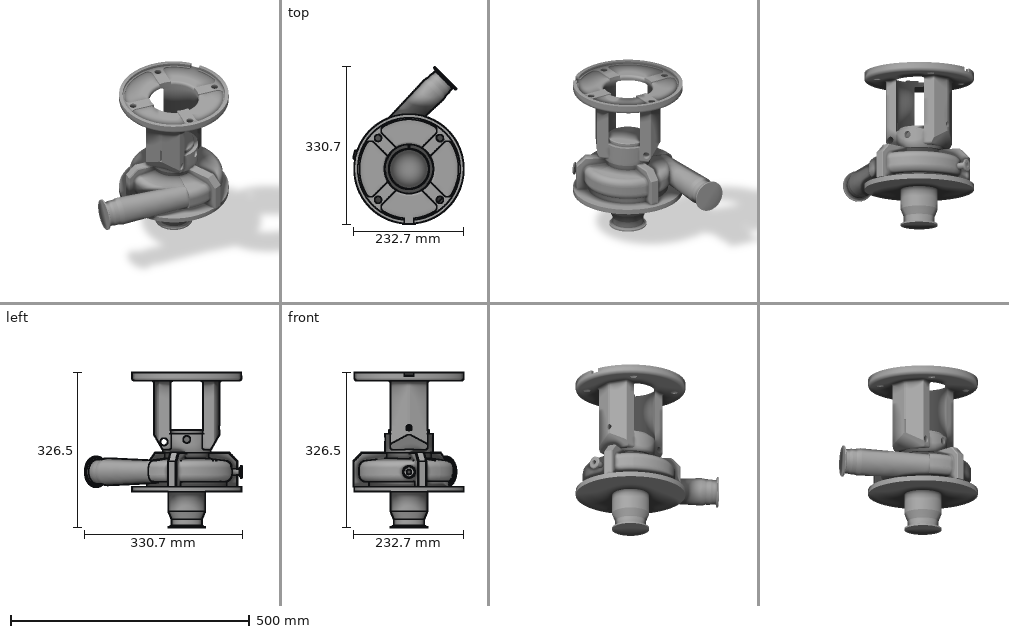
import cadquery as cq
import math

flange_radius = 115.3

base_thickness = 10.3
inlet_radius = 39.0
inlet_cone_top = -41.7
inlet_cone_bottom = -58.0
inlet_neck_radius = 32.5
inlet_end = -76.5
clamp_thickness = 3.0
clamp_taper = 2.3
clamp_lip = 6.5

volute_bottom = 20.2
volute_top = 65.0
volute_mid = (volute_bottom + volute_top) / 2
volute_edge_radius = 15.0
volute_small_radius = 93.0
volute_large_radius = 100.0
volute_shift = volute_large_radius - volute_small_radius
foot_radius = 84.5
cover_rise = 4.5
volute_throat = 6.5

hub_radius = 50.7
yoke_bore_radius = 51.7
hub_bottom = 81.5
hub_top = 121.5
hub_neck_radius = 46.5
plug_radius = 42.7
plug_top = 129.5
plug_chamfer = 1.3
hub_hole_diameter = 15.2
hub_hole_height = 109.3
hub_hole_depth = 8.3

ribs = [(45, 104.5), (165, 119.5), (285, 108.5)]
rib_width = 19.2
rib_top = 82.8
rib_corner = 19.2
rib_edge = 2.0
rib_root_fillet = 2.5

top_flange_bottom = 232.2
top_flange_top = 250.0
top_flange_fillet = 6.5
recess_radius = 107.5
recess_depth = 5.5
pocket_radius = 104.0
pocket_depth = 8.0
pocket_corner = 10.0
bore_lip = 5.5
bridge_width = 25.2
bolt_circle_radius = 91.7
bolt_hole_diameter = 14.5
notch_width = 19.2

leg_half_width = 39.0
leg_shoulder = 57.5
leg_ridge = 69.0
leg_ridge_flat = 2.5
leg_bottom = 87.8
leg_taper_top = 119.2
leg_taper_angle = 60
leg_edge = 2.3
leg_foot_edge = 5.0
leg_root_fillet = 4.0
peep_hole_diameter = 11.5
peep_hole_height = 133.8
pin_hole_diameter = 15.0
pin_hole_offset = 47.7
pin_hole_height = 104.3
slit_width = 3.3
slit_bottom = 119.2
slit_top = 149.0

outlet_angle = 45
outlet_offset = 80.8
outlet_height = 41.5
outlet_root_radius = 23.5
outlet_mouth_radius = 28.8
outlet_cone_length = 153.0
outlet_shoulder = 163.3
outlet_collar_radius = 26.8
outlet_collar_end = 172.5
outlet_neck_radius = 25.8
outlet_neck_start = 178.0
outlet_length = 189.8

drain_radius = 6.5
drain_flange_radius = 13.0
drain_reach = 116.5
drain_flange_thickness = 3.5
drain_taper = 2.5
drain_rim = 2.0
drain_bore_radius = 5.0
drain_bore_depth = 23.2
drain_height = 41.0
drain_root = 82.8


def cylinder(radius, bottom, top):
    return cq.Workplane("XY").workplane(offset=bottom).circle(radius).extrude(top - bottom)


def turned(points):
    """Solid of revolution about Z from (radius, height) points."""
    return cq.Workplane("XZ").polyline(points).close().revolve(360, (0, 0), (0, 1))


def make_inlet():
    neck = inlet_neck_radius
    rim = neck + clamp_lip
    clamp_top = inlet_end + clamp_thickness
    return turned([
        (0, 0),
        (inlet_radius, 0),
        (inlet_radius, inlet_cone_top),
        (neck, inlet_cone_bottom),
        (neck, clamp_top + clamp_taper),
        (neck + clamp_lip / 2, clamp_top),
        (rim, clamp_top),
        (rim, inlet_end),
        (0, inlet_end),
    ])


def volute_section(radius):
    """Half section of the rounded volute and its slightly conical cover, in the XZ plane."""
    shoulder = radius - volute_edge_radius
    return (
        cq.Workplane("XZ")
        .moveTo(0, volute_bottom)
        .lineTo(shoulder, volute_bottom)
        .radiusArc((radius, volute_bottom + volute_edge_radius), -volute_edge_radius)
        .lineTo(radius, volute_top - volute_edge_radius)
        .radiusArc((shoulder, volute_top), -volute_edge_radius)
        .lineTo(hub_neck_radius, volute_top + cover_rise)
        .lineTo(0, volute_top + cover_rise)
        .close()
    )


def make_volute():
    """Two half turns of different radius; the larger one runs straight into the outlet."""
    half_turn = ((0, 0), (0, 1))
    small_half = volute_section(volute_small_radius).revolve(180, *half_turn)
    small_half = small_half.rotate((0, 0, 0), (0, 0, 1), 180)
    large_half = volute_section(volute_large_radius).revolve(180, *half_turn)
    throat = volute_section(volute_large_radius).extrude(volute_throat)
    large_half = large_half.union(throat).translate((volute_shift, 0, 0))
    return small_half.union(large_half).rotate((0, 0, 0), (0, 0, 1), outlet_angle + 90)


def make_casing():
    casing = cylinder(flange_radius, 0, base_thickness)
    casing = casing.union(cylinder(foot_radius, base_thickness, volute_mid))
    casing = casing.union(cylinder(hub_neck_radius, volute_mid, hub_bottom))
    return casing.union(make_volute())


def make_rib(reach):
    """Chamfered rib along +X, clear of the shaft core."""
    rib = (
        cq.Workplane("XZ")
        .moveTo(0, 0)
        .lineTo(reach, 0)
        .lineTo(reach, rib_top - rib_corner)
        .lineTo(reach - rib_corner, rib_top)
        .lineTo(0, rib_top)
        .close()
        .extrude(rib_width / 2, both=True)
    )
    rib = rib.faces("<Y or >Y").edges("not (<X or <Z)").chamfer(rib_edge)
    above_flange = cylinder(2 * flange_radius, base_thickness, rib_top)
    outside_core = above_flange.cut(cylinder(hub_neck_radius - 3.3, 0, rib_top))
    return rib.intersect(outside_core)


def add_rib(casing, angle, reach):
    """Join a rib to the casing at the given angle and fillet its sides into the volute."""
    joined = casing.rotate((0, 0, 0), (0, 0, 1), -angle).union(make_rib(reach))
    for side in (-rib_width / 2, rib_width / 2):
        low = side - 0.03
        high = side + 0.03
        volute_seam = cq.selectors.BoxSelector(
            (0, low, base_thickness + 0.3),
            (reach - rib_edge - 0.3, high, rib_top - rib_edge - 0.3),
            boundingbox=True,
        )
        neck_seam = cq.selectors.BoxSelector((0, low, volute_top), (hub_neck_radius, high, rib_top))
        joined = joined.edges(volute_seam + neck_seam).fillet(rib_root_fillet)
    return joined.rotate((0, 0, 0), (0, 0, 1), angle)


def make_hub():
    hub = cylinder(hub_radius, hub_bottom, hub_top)
    plug = cylinder(plug_radius, hub_top, plug_top).faces(">Z").chamfer(plug_chamfer)
    hole = (
        cq.Workplane("YZ", origin=(-hub_radius, 0, hub_hole_height))
        .circle(hub_hole_diameter / 2)
        .extrude(hub_hole_depth)
    )
    return hub.union(plug).cut(hole)


def make_leg_column():
    """Both legs as one solid ridged column, before boring."""
    corners = [
        (leg_half_width, -leg_shoulder),
        (leg_half_width, leg_shoulder),
        (leg_ridge_flat, leg_ridge),
        (-leg_ridge_flat, leg_ridge),
        (-leg_half_width, leg_shoulder),
        (-leg_half_width, -leg_shoulder),
        (-leg_ridge_flat, -leg_ridge),
        (leg_ridge_flat, -leg_ridge),
    ]
    column = cq.Workplane("XY").workplane(offset=leg_bottom).polyline(corners).close()
    column = column.extrude(top_flange_bottom - leg_bottom)
    column = column.edges("|Z").edges("<X or >X").fillet(leg_edge)
    foot_reach = leg_ridge - (leg_taper_top - leg_bottom) / math.tan(math.radians(leg_taper_angle))
    side_profile = [
        (-leg_ridge, top_flange_bottom),
        (-leg_ridge, leg_taper_top),
        (-foot_reach, leg_bottom),
        (foot_reach, leg_bottom),
        (leg_ridge, leg_taper_top),
        (leg_ridge, top_flange_bottom),
    ]
    tapered = cq.Workplane("YZ").polyline(side_profile).close().extrude(leg_half_width, both=True)
    return column.intersect(tapered).faces("<Z").edges().fillet(leg_foot_edge)


def make_pocket():
    """Shallow pocket on the +X side between two bridges, with a rounded drop into the bore."""
    floor = top_flange_top - pocket_depth
    apex = bridge_width / math.sqrt(2)
    wedge = (
        cq.Workplane("XY")
        .workplane(offset=top_flange_bottom)
        .polyline([(apex, 0), (flange_radius, apex - flange_radius), (flange_radius, flange_radius - apex)])
        .close()
        .extrude(top_flange_top - top_flange_bottom)
    )
    pan = cylinder(pocket_radius, floor, top_flange_top).intersect(wedge)
    pan = pan.edges("|Z").edges(">X").fillet(pocket_corner)
    lip_centre = yoke_bore_radius + bore_lip
    lip = (
        cq.Workplane("XZ")
        .moveTo(lip_centre, floor)
        .radiusArc((yoke_bore_radius, floor - bore_lip), -bore_lip)
        .lineTo(yoke_bore_radius, floor)
        .close()
        .revolve(360, (0, 0), (0, 1))
    )
    return pan.union(lip.intersect(wedge))


def make_yoke():
    """Upper flange with its two legs, bored to fit around the hub."""
    flange = cylinder(flange_radius, top_flange_bottom, top_flange_top)
    flange = flange.faces("<Z").edges().fillet(top_flange_fillet)
    yoke = flange.union(make_leg_column())
    root_zone = cq.selectors.BoxSelector(
        (-leg_ridge - 3.3, -leg_ridge - 3.3, top_flange_bottom - leg_root_fillet),
        (leg_ridge + 3.3, leg_ridge + 3.3, top_flange_bottom + leg_root_fillet),
        boundingbox=True,
    )
    yoke = yoke.edges(root_zone).fillet(leg_root_fillet)
    yoke = yoke.cut(cylinder(hub_radius, leg_bottom, hub_top))
    yoke = yoke.cut(cylinder(yoke_bore_radius, hub_top, top_flange_top))
    recess_floor = top_flange_top - recess_depth
    yoke = yoke.cut(cylinder(recess_radius, recess_floor, top_flange_top))
    pocket = make_pocket()
    for quarter in range(4):
        yoke = yoke.cut(pocket.rotate((0, 0, 0), (0, 0, 1), 90 * quarter))
    notch = cq.Workplane("XY").box(
        notch_width, flange_radius - pocket_radius + 3.3, pocket_depth, centered=(True, False, False)
    )
    yoke = yoke.cut(notch.translate((0, -flange_radius, top_flange_top - pocket_depth)))
    bolt_holes = (
        cq.Workplane("XY")
        .workplane(offset=top_flange_bottom)
        .polarArray(bolt_circle_radius, 45, 360, 4)
        .circle(bolt_hole_diameter / 2)
        .extrude(top_flange_top - top_flange_bottom)
    )
    return yoke.cut(bolt_holes)


def make_leg_openings():
    """Peep hole in the -Y leg, cross pin hole and slit in the +Y leg."""
    peep_hole = (
        cq.Workplane("XZ", origin=(0, -plug_radius, peep_hole_height))
        .circle(peep_hole_diameter / 2)
        .extrude(leg_ridge - plug_radius)
    )
    pin_hole = (
        cq.Workplane("YZ", origin=(0, pin_hole_offset, pin_hole_height))
        .circle(pin_hole_diameter / 2)
        .extrude(leg_half_width, both=True)
    )
    slit = (
        cq.Workplane("XY", origin=(0, plug_radius, slit_bottom))
        .rect(slit_width, 2 * (leg_ridge - plug_radius))
        .extrude(slit_top - slit_bottom)
    )
    slit = slit.cut(cylinder(plug_radius, slit_bottom, slit_top))
    return peep_hole, pin_hole, slit


def make_outlet():
    neck = outlet_neck_radius
    rim = neck + clamp_lip
    clamp_back = outlet_length - clamp_thickness
    pipe = (
        cq.Workplane("XZ")
        .lineTo(outlet_root_radius, 0)
        .lineTo(outlet_mouth_radius, outlet_cone_length)
        .tangentArcPoint((outlet_collar_radius, outlet_shoulder), relative=False)
        .lineTo(outlet_collar_radius, outlet_collar_end)
        .lineTo(neck, outlet_neck_start)
        .lineTo(neck, clamp_back - clamp_taper)
        .lineTo(neck + clamp_lip / 2, clamp_back)
        .lineTo(rim, clamp_back)
        .lineTo(rim, outlet_length)
        .lineTo(0, outlet_length)
        .close()
        .revolve(360, (0, 0), (0, 1))
    )
    pipe = pipe.rotate((0, 0, 0), (0, 1, 0), 90)
    pipe = pipe.translate((0, outlet_offset, outlet_height))
    return pipe.rotate((0, 0, 0), (0, 0, 1), outlet_angle)


def make_drain():
    flange_back = drain_reach - drain_flange_thickness
    drain = turned([
        (0, drain_root),
        (drain_radius, drain_root),
        (drain_radius, flange_back - drain_taper),
        (drain_flange_radius - drain_rim, flange_back),
        (drain_flange_radius, flange_back),
        (drain_flange_radius, drain_reach - drain_rim / 2),
        (drain_flange_radius - drain_rim, drain_reach),
        (0, drain_reach),
    ])
    drain = drain.cut(cylinder(drain_bore_radius, drain_reach - drain_bore_depth, drain_reach))
    return drain.rotate((0, 0, 0), (1, 0, 0), 90).translate((0, 0, drain_height))


result = make_casing().union(make_inlet())
for rib_angle, rib_reach in ribs:
    result = add_rib(result, rib_angle, rib_reach)
result = result.union(make_outlet()).union(make_drain())
result = result.union(make_hub()).union(make_yoke())
for opening in make_leg_openings():
    result = result.cut(opening)